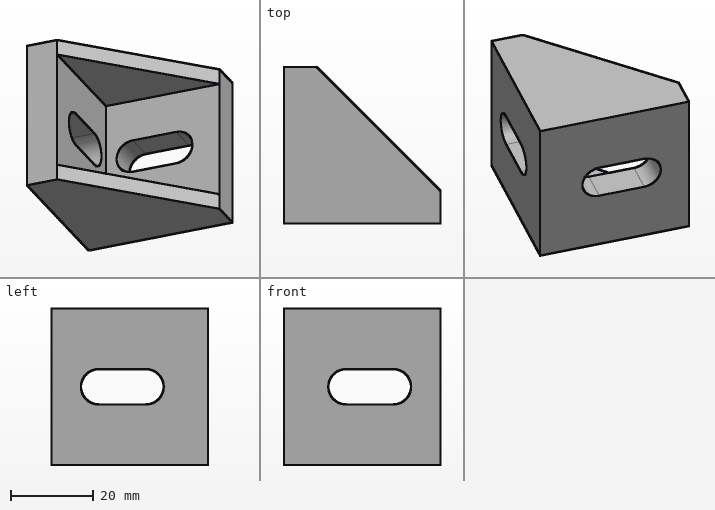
import cadquery as cq

size = 38.0
wall = 8.0
gusset = 4.0
slot_length = 20.0
slot_width = 8.5
slot_center = 20.8

mid_height = size / 2


def make_body():
    """Square-cornered bracket whose sloping side joins the ends of both legs."""
    outline = [(0, 0), (size, 0), (size, wall), (wall, size), (0, size)]
    return cq.Workplane("XY").polyline(outline).close().extrude(size)


def make_cavity():
    """Space between the legs and gussets, open along the sloping side."""
    span = size - wall
    return (
        cq.Workplane("XY", origin=(wall, wall, gusset))
        .rect(span, span, centered=False)
        .extrude(size - 2 * gusset)
    )


def make_slot(plane):
    """Horizontal slot cutter through the leg that lies in the given plane."""
    return (
        cq.Workplane(plane)
        .slot2D(slot_length, slot_width)
        .extrude(wall)
    )


front_slot_plane = cq.Plane(origin=(slot_center, 0, mid_height), xDir=(1, 0, 0), normal=(0, 1, 0))
side_slot_plane = cq.Plane(origin=(0, slot_center, mid_height), xDir=(0, 1, 0), normal=(1, 0, 0))

result = make_body().cut(make_cavity())
for slot_plane in (front_slot_plane, side_slot_plane):
    result = result.cut(make_slot(slot_plane))